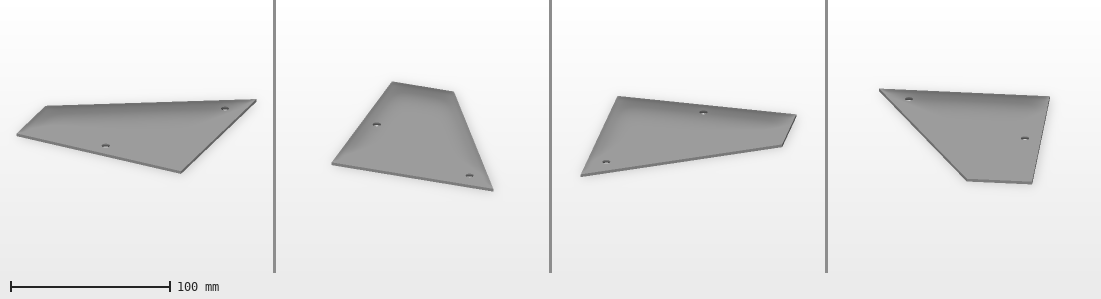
import cadquery as cq
import math

width = 115.0
right_height = 107.6
thickness = 2.0
slope_angle = 30.0
left_height = right_height - width * math.tan(math.radians(slope_angle))

lower_hole_diameter = 5.2
lower_hole_center = (width / 2, 10.0)
upper_hole_diameter = 5.0
upper_hole_center = (102.9, 87.6)


def make_plate():
    corners = [(0, 0), (width, 0), (width, right_height), (0, left_height)]
    return cq.Workplane("XY").polyline(corners).close().extrude(thickness)


def make_hole_cutter(center, diameter):
    return cq.Workplane("XY").center(*center).circle(diameter / 2).extrude(thickness)


result = (
    make_plate()
    .cut(make_hole_cutter(lower_hole_center, lower_hole_diameter))
    .cut(make_hole_cutter(upper_hole_center, upper_hole_diameter))
)